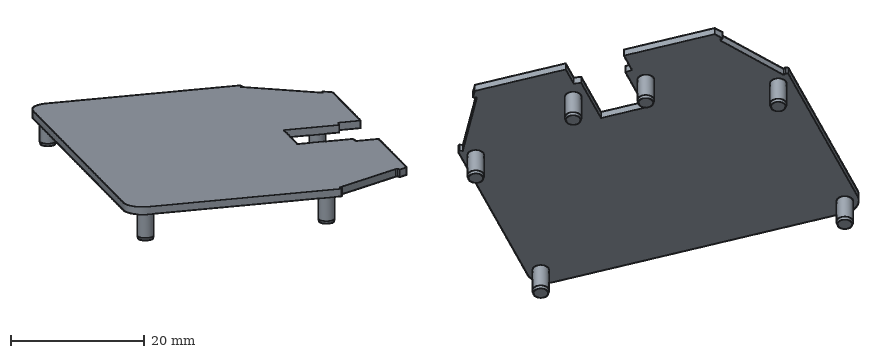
import cadquery as cq

width = 52.8
depth = 45.7
total_height = 5.7
plate_thickness = 1.2
corner_radius = 3.0
half_width = width / 2
back_y = depth / 2
front_y = -back_y

slot_wide_half = 4.65
slot_narrow_half = 3.55
slot_step_outer_depth = 3.55
slot_step_inner_depth = 3.7
slot_depth = 12.4

back_edge_half = 19.15
lip_half = 19.95
lip_depth = 1.3
hook_half = 19.55
hook_depth = 1.55
slope_start_depth = 1.8

slope_end_half = 25.65
shoulder_depth = 12.45
shoulder_tip_half = 26.1
shoulder_tip_depth = 12.2

pin_diameter = 2.55
pin_chamfer_height = 0.5
pin_chamfer_width = 0.15
outer_pin_x = 24.2
slot_pin_x = 5.8
slot_pin_depth = 6.45
shoulder_pin_depth = 14.1
left_corner_pin_depth = 43.2
right_corner_pin_depth = 42.5


def make_plate():
    half_outline = [
        (slot_narrow_half, slot_depth),
        (slot_narrow_half, slot_step_inner_depth),
        (slot_wide_half, slot_step_outer_depth),
        (slot_wide_half, 0),
        (back_edge_half, 0),
        (lip_half, lip_depth),
        (hook_half, hook_depth),
        (hook_half, slope_start_depth),
        (slope_end_half, shoulder_depth),
        (shoulder_tip_half, shoulder_tip_depth),
        (half_width, shoulder_depth),
        (half_width, depth),
    ]
    right_side = [(x, back_y - distance) for x, distance in half_outline]
    left_side = [(-x, y) for x, y in reversed(right_side)]
    plate = (
        cq.Workplane("XY")
        .polyline(right_side + left_side)
        .close()
        .extrude(-plate_thickness)
    )
    front_corners = cq.selectors.BoxSelector(
        (-width, front_y - corner_radius, -total_height),
        (width, front_y + corner_radius, total_height),
    )
    return plate.edges("|Z").edges(front_corners).fillet(corner_radius)


def make_pin(x, distance_from_back):
    radius = pin_diameter / 2
    profile = [
        (0, -plate_thickness / 2),
        (radius, -plate_thickness / 2),
        (radius, pin_chamfer_height - total_height),
        (radius - pin_chamfer_width, -total_height),
        (0, -total_height),
    ]
    pin = cq.Workplane("XZ").polyline(profile).close().revolve(360, (0, 0), (0, 1))
    return pin.translate((x, back_y - distance_from_back, 0))


pin_places = [
    (-slot_pin_x, slot_pin_depth),
    (slot_pin_x, slot_pin_depth),
    (-outer_pin_x, shoulder_pin_depth),
    (outer_pin_x, shoulder_pin_depth),
    (-outer_pin_x, left_corner_pin_depth),
    (outer_pin_x, right_corner_pin_depth),
]

result = make_plate()
for pin_x, pin_depth in pin_places:
    result = result.union(make_pin(pin_x, pin_depth))